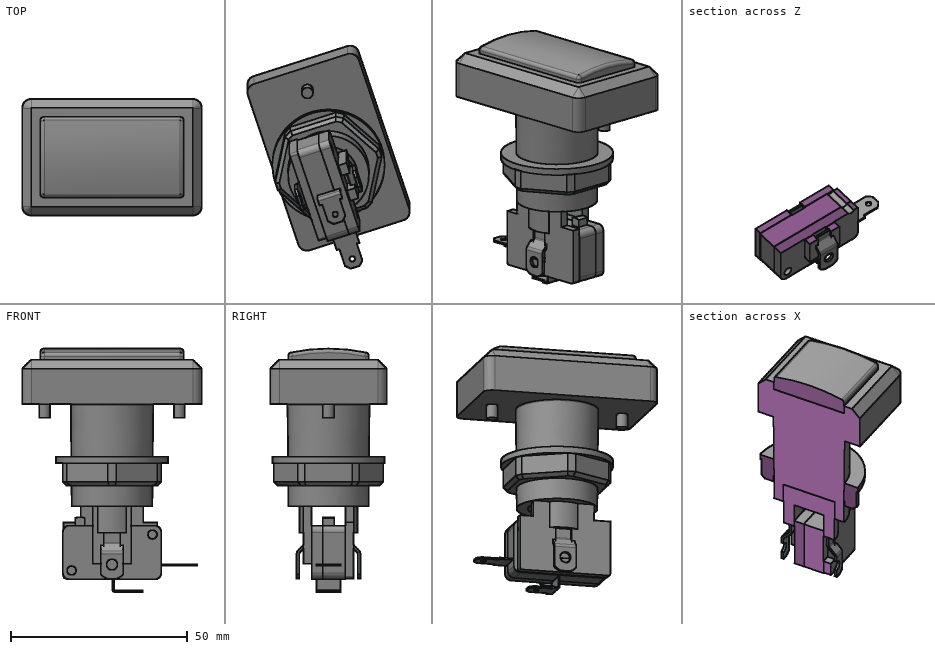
import cadquery as cq
import math


BEZEL_X = 50.8
BEZEL_Y = 33.02
BEZEL_HEIGHT = 12.57
BEZEL_CORNER_RADIUS = 2.6
BEZEL_CHAMFER = 2.5
BARREL_TOP_DIAMETER = 23.37
BARREL_BOTTOM_DIAMETER = 22.86
BARREL_LIP = 0.25
BARREL_BOTTOM = -28.9
PEG_DIAMETER = 3.175
PEG_LENGTH = 3.9
PEG_SPACING = 38.1

CAP_X = 40.64
CAP_Y = 22.86
CAP_TOP = 15.75
CAP_CROWN_RADIUS = 50.8
CAP_ROUNDING = 1.1
CAP_RECESS = 2.5

NUT_FLANGE_DIAMETER = 31.75
NUT_FLANGE_TOP = -14.85
NUT_FLANGE_THICKNESS = 1.8
NUT_ACROSS_FLATS = 27.94
NUT_CORNER_DIAMETER = 31.0
NUT_BOTTOM = -23.0
NUT_CHAMFER = 1.1

SWITCH_X = 27.94
SWITCH_Y = 9.5
SWITCH_HEIGHT = 15.24
SWITCH_TOP = -34.33
SWITCH_BOTTOM = SWITCH_TOP - SWITCH_HEIGHT
SWITCH_CENTER_Z = SWITCH_TOP - SWITCH_HEIGHT / 2
SWITCH_CORNER_RADIUS = 1.9
SWITCH_SEAM_Y = -1.65
SWITCH_HOLE_DIAMETER = 2.54
SWITCH_HOLE_X = 11.43
SWITCH_HOLE_RISE = 5.08
PLUNGER_X = -9.1
PLUNGER_WIDTH = 2.7
PLUNGER_SIDE_TOP = -32.2
PLUNGER_CROWN = 0.3

TERMINAL_THICKNESS = 0.508
TERMINAL_ROOT_WIDTH = 6.8
TERMINAL_BLADE_WIDTH = 5.2
TERMINAL_BLADE_LENGTH = 6.35
TERMINAL_CHAMFER = 1.27
TERMINAL_HOLE_DIAMETER = 1.524
TERMINAL_HOLE_FROM_TIP = 2.54
SIDE_TERMINAL_Z = -45.5
SIDE_SHOULDER_X = 17.7
LOWER_TERMINAL_X = 0.07
LOWER_SHOULDER_X = 2.28
LOWER_TERMINAL_BOTTOM = -53.12
LOWER_BEND_RADIUS = 0.76

HOLDER_INNER_Y = SWITCH_Y / 2
HOLDER_OUTER_Y = 7.13
CORE_DIAMETER = 16.51
CORE_DEPTH = 6.0
CONTACT_BOSS_WIDTH = 8.13
CONTACT_BOSS_BOTTOM = -36.4
POST_WIDTH = 10.8
POST_BOTTOM = -45.15
NECK_WIDTH = 17.78
PLATE_LEFT = -13.73
PLATE_RIGHT = 12.81
PLATE_TOP = -33.45
PLATE_BOTTOM = -49.3
PLATE_CORNER_RADIUS = 0.65

CONTACT_THICKNESS = 0.813
CONTACT_STEM_WIDTH = 4.6
CONTACT_TAB_WIDTH = 6.35
CONTACT_RECESS = 0.6
CONTACT_OUTER_Y = 9.05
CONTACT_STEM_BEND_Z = -39.25
CONTACT_BOTTOM = -49.3
CONTACT_BEND_ANGLE = math.radians(45)
CONTACT_INNER_BEND_RADIUS = 0.5
CONTACT_OUTER_BEND_RADIUS = CONTACT_INNER_BEND_RADIUS + CONTACT_THICKNESS
CONTACT_END_RADIUS = 4.2
CONTACT_HOLE_DIAMETER = 3.05
CONTACT_HOLE_Z = -45.35


def box(x0, x1, y0, y1, z0, z1):
    """Block between the given coordinates."""
    return cq.Workplane("XY").box(x1 - x0, y1 - y0, z1 - z0, centered=False).translate((x0, y0, z0))


def cylinder(diameter, z0, z1, x=0.0):
    """Upright cylinder whose axis crosses the X axis at x."""
    return cq.Workplane("XY", origin=(x, 0, z0)).circle(diameter / 2).extrude(z1 - z0)


def cap_outline():
    """Cap from its seat up to the crowned top, before the edges are rounded."""
    half_y = CAP_Y / 2
    edge_drop = CAP_CROWN_RADIUS - math.sqrt(CAP_CROWN_RADIUS**2 - half_y**2)
    seat = BEZEL_HEIGHT - CAP_RECESS
    return (
        cq.Workplane("YZ", origin=(-CAP_X / 2, 0, 0))
        .moveTo(-half_y, seat)
        .lineTo(half_y, seat)
        .lineTo(half_y, CAP_TOP - edge_drop)
        .threePointArc((0, CAP_TOP), (-half_y, CAP_TOP - edge_drop))
        .close()
        .extrude(CAP_X)
    )


def make_cap():
    """Button cap with rounded vertical corners and a rounded rim around the crown."""
    body = cap_outline().edges("|Z").fillet(CAP_ROUNDING)
    return body.faces(">Z").edges().fillet(CAP_ROUNDING)


def make_barrel():
    """Slightly tapered barrel below a short straight lip."""
    top_radius = BARREL_TOP_DIAMETER / 2
    return (
        cq.Workplane("XZ")
        .polyline(
            [
                (0, 0),
                (top_radius, 0),
                (top_radius, -BARREL_LIP),
                (BARREL_BOTTOM_DIAMETER / 2, BARREL_BOTTOM),
                (0, BARREL_BOTTOM),
            ]
        )
        .close()
        .revolve(360, (0, 0, 0), (0, 1, 0))
    )


def make_housing(cap, barrel):
    """Bezel with its barrel and two locating pegs, pocketed for the cap and bored for the holder."""
    bezel = (
        box(-BEZEL_X / 2, BEZEL_X / 2, -BEZEL_Y / 2, BEZEL_Y / 2, 0, BEZEL_HEIGHT)
        .edges("|Z")
        .fillet(BEZEL_CORNER_RADIUS)
        .faces(">Z")
        .chamfer(BEZEL_CHAMFER)
    )
    body = bezel.union(barrel)
    for side in (-1, 1):
        body = body.union(cylinder(PEG_DIAMETER, -PEG_LENGTH, 0, side * PEG_SPACING / 2))
    return body.cut(cap).cut(cylinder(CORE_DIAMETER, BARREL_BOTTOM, BARREL_BOTTOM + CORE_DEPTH))


def make_nut(barrel):
    """Hexagonal nut with turned corners, a chamfered lower rim and a round flange on top."""
    flange_bottom = NUT_FLANGE_TOP - NUT_FLANGE_THICKNESS
    hexagon = (
        cq.Workplane("XY", origin=(0, 0, NUT_BOTTOM))
        .polygon(6, NUT_ACROSS_FLATS, circumscribed=True)
        .extrude(flange_bottom - NUT_BOTTOM)
    )
    body = hexagon.intersect(cylinder(NUT_CORNER_DIAMETER, NUT_BOTTOM, flange_bottom))
    body = body.faces("<Z").chamfer(NUT_CHAMFER)
    return body.union(cylinder(NUT_FLANGE_DIAMETER, flange_bottom, NUT_FLANGE_TOP)).cut(barrel)


def terminal_blade(shoulder_x, z0):
    """Narrow tip of a switch terminal, with clipped corners and a hole."""
    tip_x = shoulder_x + TERMINAL_BLADE_LENGTH
    half_width = TERMINAL_BLADE_WIDTH / 2
    blade = box(shoulder_x, tip_x, -half_width, half_width, z0, z0 + TERMINAL_THICKNESS)
    blade = blade.edges("|Z and >X").chamfer(TERMINAL_CHAMFER)
    hole_x = tip_x - TERMINAL_HOLE_FROM_TIP
    return blade.cut(cylinder(TERMINAL_HOLE_DIAMETER, z0, z0 + TERMINAL_THICKNESS, hole_x))


def make_side_terminal():
    """Flat terminal leaving the +X end of the switch."""
    half_width = TERMINAL_ROOT_WIDTH / 2
    z0 = SIDE_TERMINAL_Z - TERMINAL_THICKNESS / 2
    root = box(SWITCH_X / 2, SIDE_SHOULDER_X, -half_width, half_width, z0, z0 + TERMINAL_THICKNESS)
    return root.union(terminal_blade(SIDE_SHOULDER_X, z0))


def make_lower_terminal():
    """Terminal that leaves the bottom of the switch and bends toward +X."""
    half_width = TERMINAL_ROOT_WIDTH / 2
    x0 = LOWER_TERMINAL_X
    z0 = LOWER_TERMINAL_BOTTOM
    inner_radius = LOWER_BEND_RADIUS - TERMINAL_THICKNESS
    inner_x = x0 + TERMINAL_THICKNESS
    inner_z = z0 + TERMINAL_THICKNESS
    outer = box(x0, LOWER_SHOULDER_X, -half_width, half_width, z0, SWITCH_BOTTOM)
    outer = outer.edges("|Y and <X and <Z").fillet(LOWER_BEND_RADIUS)
    inner = box(inner_x, LOWER_SHOULDER_X, -half_width, half_width, inner_z, SWITCH_BOTTOM)
    inner = inner.edges("|Y and <X and <Z").fillet(inner_radius)
    return outer.cut(inner).union(terminal_blade(LOWER_SHOULDER_X, z0))


def switch_block(y0, y1):
    """Slice of the switch body with its rounded corners and two mounting holes."""
    block = box(-SWITCH_X / 2, SWITCH_X / 2, y0, y1, SWITCH_BOTTOM, SWITCH_TOP)
    block = block.edges("|Y").fillet(SWITCH_CORNER_RADIUS)
    holes = (
        cq.Workplane("XZ", origin=(0, y1, SWITCH_CENTER_Z))
        .pushPoints([(SWITCH_HOLE_X, SWITCH_HOLE_RISE), (-SWITCH_HOLE_X, -SWITCH_HOLE_RISE)])
        .circle(SWITCH_HOLE_DIAMETER / 2)
        .extrude(y1 - y0)
    )
    return block.cut(holes)


def make_plunger():
    """Actuating plunger with a crowned top, behind the seam of the switch."""
    half_width = PLUNGER_WIDTH / 2
    return (
        cq.Workplane("XZ", origin=(PLUNGER_X, -SWITCH_SEAM_Y, 0))
        .moveTo(-half_width, SWITCH_TOP)
        .lineTo(half_width, SWITCH_TOP)
        .lineTo(half_width, PLUNGER_SIDE_TOP)
        .threePointArc((0, PLUNGER_SIDE_TOP + PLUNGER_CROWN), (-half_width, PLUNGER_SIDE_TOP))
        .close()
        .extrude(-2 * SWITCH_SEAM_Y)
    )


def make_switch_case():
    """Rear part of the switch, carrying the plunger and both terminals."""
    case = switch_block(SWITCH_SEAM_Y, SWITCH_Y / 2).union(make_plunger())
    return case.union(make_side_terminal()).union(make_lower_terminal())


def make_switch_cover():
    """Front part of the switch."""
    return switch_block(-SWITCH_Y / 2, SWITCH_SEAM_Y)


def bend_edge(y, z):
    """Selector for the contact edge along X that passes closest to the given point."""
    return cq.selectors.NearestToPointSelector((0, y, z))


def contact_strip():
    """Bent strip of full tab width: an upright stem, a 45 degree step outward and an upright tab."""
    stem_front = HOLDER_OUTER_Y - CONTACT_RECESS
    stem_back = stem_front - CONTACT_THICKNESS
    tab_back = CONTACT_OUTER_Y - CONTACT_THICKNESS
    step = CONTACT_OUTER_Y - stem_front
    stem_front_z = CONTACT_STEM_BEND_Z
    stem_back_z = stem_front_z - CONTACT_THICKNESS * math.tan(CONTACT_BEND_ANGLE / 2)
    outline = [
        (stem_front, CONTACT_BOSS_BOTTOM),
        (stem_front, stem_front_z),
        (CONTACT_OUTER_Y, stem_front_z - step),
        (CONTACT_OUTER_Y, CONTACT_BOTTOM),
        (tab_back, CONTACT_BOTTOM),
        (tab_back, stem_back_z - step),
        (stem_back, stem_back_z),
        (stem_back, CONTACT_BOSS_BOTTOM),
    ]
    strip = cq.Workplane("YZ").polyline(outline).close().extrude(CONTACT_TAB_WIDTH / 2, both=True)
    for y, z in ((stem_front, stem_front_z), (tab_back, stem_back_z - step)):
        strip = strip.edges("|X").edges(bend_edge(y, z)).fillet(CONTACT_INNER_BEND_RADIUS)
    for y, z in ((CONTACT_OUTER_Y, stem_front_z - step), (stem_back, stem_back_z)):
        strip = strip.edges("|X").edges(bend_edge(y, z)).fillet(CONTACT_OUTER_BEND_RADIUS)
    return strip


def contact_disc(diameter):
    """Disc across the contact tab, concentric with its wire hole."""
    return (
        cq.Workplane("XZ", origin=(0, CONTACT_OUTER_Y, CONTACT_HOLE_Z))
        .circle(diameter / 2)
        .extrude(CONTACT_THICKNESS)
    )


def make_contact():
    """Lamp contact on the +Y side: narrow inside the holder, wide with a wire hole outside it."""
    half_tab = CONTACT_TAB_WIDTH / 2
    half_stem = CONTACT_STEM_WIDTH / 2
    strip = contact_strip()
    stem = strip.intersect(box(-half_stem, half_stem, 0, HOLDER_OUTER_Y, CONTACT_BOTTOM, CONTACT_BOSS_BOTTOM))
    upper_tab = box(-half_tab, half_tab, HOLDER_OUTER_Y, CONTACT_OUTER_Y, CONTACT_HOLE_Z, CONTACT_BOSS_BOTTOM)
    tab = strip.intersect(upper_tab.union(contact_disc(2 * CONTACT_END_RADIUS)))
    return stem.union(tab).cut(contact_disc(CONTACT_HOLE_DIAMETER))


def make_holder():
    """Lamp holder: core in the barrel, front post, rear switch plate, contact bosses and slots."""
    half_post = POST_WIDTH / 2
    half_neck = NECK_WIDTH / 2
    half_boss = CONTACT_BOSS_WIDTH / 2
    half_stem = CONTACT_STEM_WIDTH / 2
    plate = box(PLATE_LEFT, PLATE_RIGHT, HOLDER_INNER_Y, HOLDER_OUTER_Y, PLATE_BOTTOM, PLATE_TOP)
    plate = plate.edges("|Y and <Z").fillet(PLATE_CORNER_RADIUS)
    body = (
        cylinder(CORE_DIAMETER, BARREL_BOTTOM, BARREL_BOTTOM + CORE_DEPTH)
        .union(plate)
        .union(box(-half_neck, half_neck, HOLDER_INNER_Y, HOLDER_OUTER_Y, PLATE_TOP, BARREL_BOTTOM))
        .union(box(-half_post, half_post, -HOLDER_OUTER_Y, -HOLDER_INNER_Y, POST_BOTTOM, BARREL_BOTTOM))
    )
    boss_core = cylinder(CORE_DIAMETER, CONTACT_BOSS_BOTTOM, BARREL_BOTTOM)
    for side in (-1, 1):
        y0, y1 = sorted((side * HOLDER_OUTER_Y, side * CORE_DIAMETER / 2))
        boss_zone = box(-half_boss, half_boss, y0, y1, CONTACT_BOSS_BOTTOM, BARREL_BOTTOM)
        body = body.union(boss_core.intersect(boss_zone))
        y0, y1 = sorted((side * HOLDER_INNER_Y, side * HOLDER_OUTER_Y))
        body = body.cut(box(-half_stem, half_stem, y0, y1, POST_BOTTOM, CONTACT_BOSS_BOTTOM))
    return body


cap = make_cap()
barrel = make_barrel()
housing = make_housing(cap, barrel)
nut = make_nut(barrel)
rear_contact = make_contact()
contacts = [rear_contact.rotate((0, 0, 0), (0, 0, 1), angle) for angle in (0, 180)]
holder = make_holder()
switch_case = make_switch_case()
switch_cover = make_switch_cover().cut(switch_case)

result = cq.Compound.makeCompound(
    [
        housing.val(),
        cap.val(),
        nut.val(),
        holder.val(),
        *[contact.val() for contact in contacts],
        switch_case.val(),
        switch_cover.val(),
    ]
)